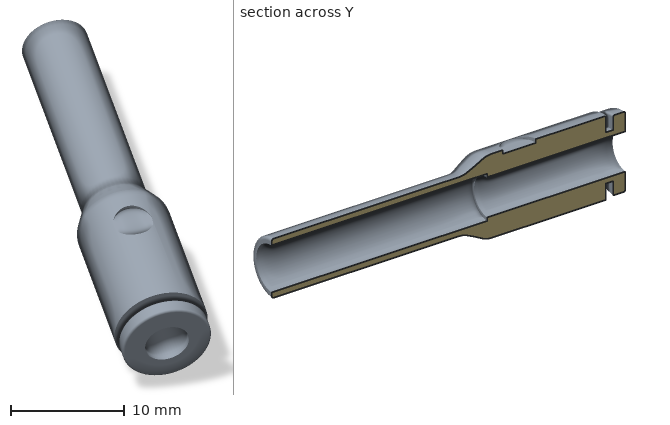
import cadquery as cq
import math

total_length = 37.85

stem_radius = 3.0
stem_end_fillet = 0.3
stem_bore_radius = 2.35

shoulder_start = 20.55
shoulder_length = 2.5
shoulder_end = shoulder_start + shoulder_length
shoulder_fillet = 2.0

body_radius = 4.25
neck_radius = 2.6
neck_length = 0.7
collar_radius = 4.05
collar_thickness = 1.35
collar_fillet = 0.2
collar_start = total_length - collar_thickness
body_end = collar_start - neck_length
through_bore_radius = 2.0

recess_radius = 1.75
recess_center_x = 26.5
recess_floor_z = math.sqrt(body_radius**2 - recess_radius**2)


def cylinder(radius, start, end):
    """Solid cylinder on the X axis between two X positions."""
    return cq.Workplane("YZ", origin=(start, 0, 0)).circle(radius).extrude(end - start)


def make_stem_and_body():
    """Stem, tapered shoulder and body, with the outer corners rounded."""
    shoulder_angle = math.atan2(body_radius - stem_radius, shoulder_length)
    tangent_length = shoulder_fillet * math.tan(shoulder_angle / 2)
    tangent_x = tangent_length * math.cos(shoulder_angle)
    tangent_r = tangent_length * math.sin(shoulder_angle)
    profile = (
        cq.Workplane("XY")
        .lineTo(0, stem_radius)
        .lineTo(shoulder_start - tangent_length, stem_radius)
        .radiusArc((shoulder_start + tangent_x, stem_radius + tangent_r), -shoulder_fillet)
        .lineTo(shoulder_end - tangent_x, body_radius - tangent_r)
        .radiusArc((shoulder_end + tangent_length, body_radius), shoulder_fillet)
        .lineTo(body_end, body_radius)
        .lineTo(body_end, 0)
        .close()
    )
    turned = profile.revolve(360, (0, 0, 0), (1, 0, 0))
    return turned.faces("<X").edges().fillet(stem_end_fillet)


def make_collar():
    """Release collar with rounded rims, on its narrower neck."""
    neck = cylinder(neck_radius, body_end, collar_start)
    collar = cylinder(collar_radius, collar_start, total_length).edges("%CIRCLE").fillet(collar_fillet)
    return neck.union(collar)


def make_bore():
    """Through bore, wider along the stem as far as the end of the shoulder."""
    through_bore = cylinder(through_bore_radius, 0, total_length)
    return through_bore.union(cylinder(stem_bore_radius, 0, shoulder_end))


def make_recess():
    """Flat-floored round recess, just deep enough to keep its whole rim."""
    recess = cq.Workplane("XY", origin=(recess_center_x, 0, recess_floor_z)).circle(recess_radius)
    return recess.extrude(body_radius)


result = make_stem_and_body().union(make_collar()).cut(make_bore()).cut(make_recess())